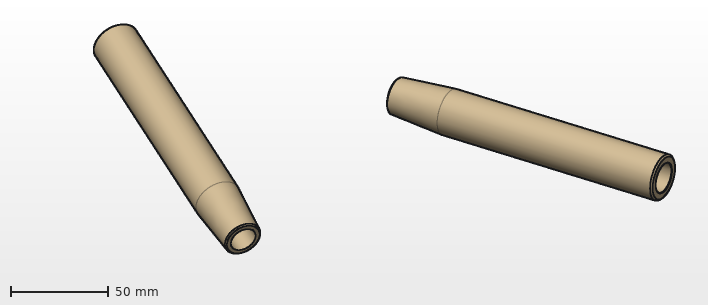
import cadquery as cq
import math

length = 160.0
outer_diameter = 25.0
mouth_rim_chamfer = 1.0

nose_length = 31.8
nose_end_diameter = 20
nose_rim_chamfer = 0.75

wide_bore_diameter = 16.0
narrow_bore_diameter = 14.0
bore_mouth_chamfer = 0.3
step_cone_half_angle = math.radians(60.0)

start_x = -length / 2
end_x = length / 2
nose_start_x = end_x - nose_length


def make_body():
    """Solid cylinder with a conical nose and chamfered rims."""
    outer_radius = outer_diameter / 2
    body = (
        cq.Workplane("XY")
        .moveTo(start_x, 0)
        .lineTo(start_x, outer_radius)
        .lineTo(nose_start_x, outer_radius)
        .lineTo(end_x, nose_end_diameter / 2)
        .lineTo(end_x, 0)
        .close()
        .revolve(360, (0, 0, 0), (1, 0, 0))
    )
    body = body.faces("<X").edges().chamfer(mouth_rim_chamfer)
    return body.faces(">X").edges().chamfer(nose_rim_chamfer)


def make_bore():
    """Through bore with a chamfered mouth and a conical step ending where the nose begins."""
    wide_radius = wide_bore_diameter / 2
    narrow_radius = narrow_bore_diameter / 2
    step_length = (wide_radius - narrow_radius) / math.tan(step_cone_half_angle)
    return (
        cq.Workplane("XY")
        .moveTo(start_x, 0)
        .lineTo(start_x, wide_radius + bore_mouth_chamfer)
        .lineTo(start_x + bore_mouth_chamfer, wide_radius)
        .lineTo(nose_start_x - step_length, wide_radius)
        .lineTo(nose_start_x, narrow_radius)
        .lineTo(end_x, narrow_radius)
        .lineTo(end_x, 0)
        .close()
        .revolve(360, (0, 0, 0), (1, 0, 0))
    )


result = make_body().cut(make_bore())